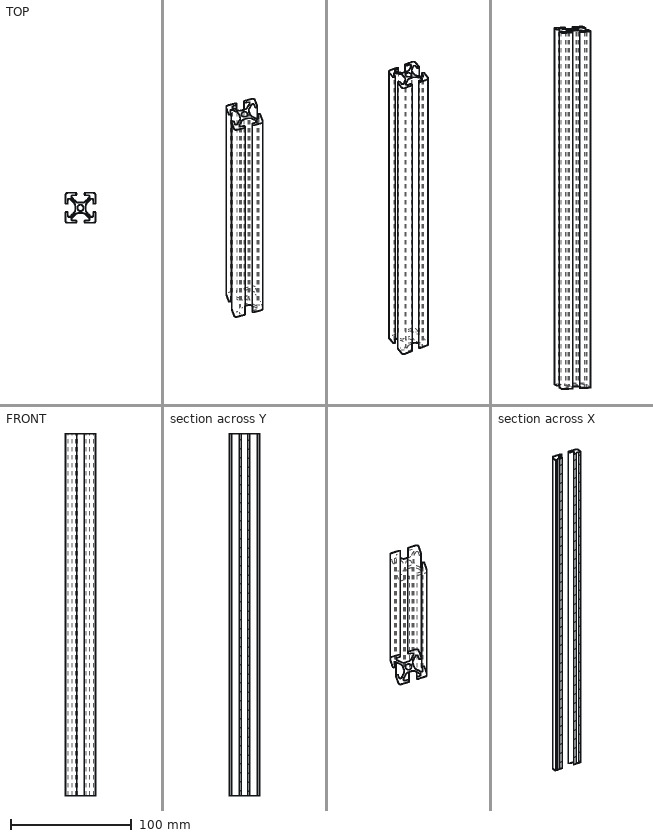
import cadquery as cq
import math
side = 25.0
length = 300.0
corner_radius = 1.95

slot_opening = 6.5
lip_thickness = 2.1
block_size = 5.05
lip_root_radius = 1.0

core_size = 8.9
bore_diameter = 5.0
web_thickness = 1.9
web_root_radius = 3.5
web_end_radius = 1.0

half_side = side / 2
block_start = half_side - block_size
lip_inner_face = half_side - lip_thickness
lip_tip = slot_opening / 2
lip_end_radius = lip_thickness / 2
lip_round_start = lip_tip + lip_end_radius
block_center = half_side - block_size / 2
web_offset = web_thickness / math.sqrt(2)

corner_count = 4
quarter_turn = 360 / corner_count


def turned(body, angle):
    """Body turned about the bar's long axis."""
    return body.rotate((0, 0, 0), (0, 0, 1), angle)


def long_edges_at(body, points):
    """Lengthwise edges of a body that pass through the given cross-section points."""
    selector = cq.selectors.NearestToPointSelector((*points[0], length / 2))
    for point in points[1:]:
        selector = selector + cq.selectors.NearestToPointSelector((*point, length / 2))
    return body.edges(selector)


def mirrored_points(first, second):
    """The eight images of a point mirrored in both axes and in the diagonal."""
    return [
        (x * x_sign, y * y_sign)
        for x, y in ((first, second), (second, first))
        for x_sign in (1, -1)
        for y_sign in (1, -1)
    ]


def make_core():
    """Square core with a web blended into each of its corners."""
    web_span = 2 * math.hypot(block_center, block_center)
    web = turned(cq.Workplane("XY").rect(web_span, web_thickness).extrude(length), quarter_turn / 2)
    core = cq.Workplane("XY").rect(core_size, core_size).extrude(length)
    core = core.union(web).union(turned(web, quarter_turn))

    core_face = core_size / 2
    web_start = core_face - web_offset
    return long_edges_at(core, mirrored_points(core_face, web_start)).fillet(web_root_radius)


def make_corner():
    """Corner block with the two round-ended lips that overhang its slots."""
    corner = (
        cq.Workplane("XY")
        .moveTo(lip_round_start, half_side)
        .lineTo(half_side, half_side)
        .lineTo(half_side, lip_round_start)
        .threePointArc((half_side - lip_end_radius, lip_tip), (lip_inner_face, lip_round_start))
        .lineTo(lip_inner_face, block_start)
        .lineTo(block_start, block_start)
        .lineTo(block_start, lip_inner_face)
        .lineTo(lip_round_start, lip_inner_face)
        .threePointArc((lip_tip, half_side - lip_end_radius), (lip_round_start, half_side))
        .close()
        .extrude(length)
    )
    lip_roots = [(block_start, lip_inner_face), (lip_inner_face, block_start)]
    corner = long_edges_at(corner, lip_roots).fillet(lip_root_radius)
    return long_edges_at(corner, [(half_side, half_side)]).fillet(corner_radius)


def make_bar():
    """Complete bar: core, four corners blended to the webs, and the central bore."""
    bar = make_core()
    corner = make_corner()
    for index in range(corner_count):
        bar = bar.union(turned(corner, index * quarter_turn))
    web_end = block_start + web_offset
    bar = long_edges_at(bar, mirrored_points(block_start, web_end)).fillet(web_end_radius)
    bore = cq.Workplane("XY").circle(bore_diameter / 2).extrude(length)
    return bar.cut(bore)


result = make_bar()